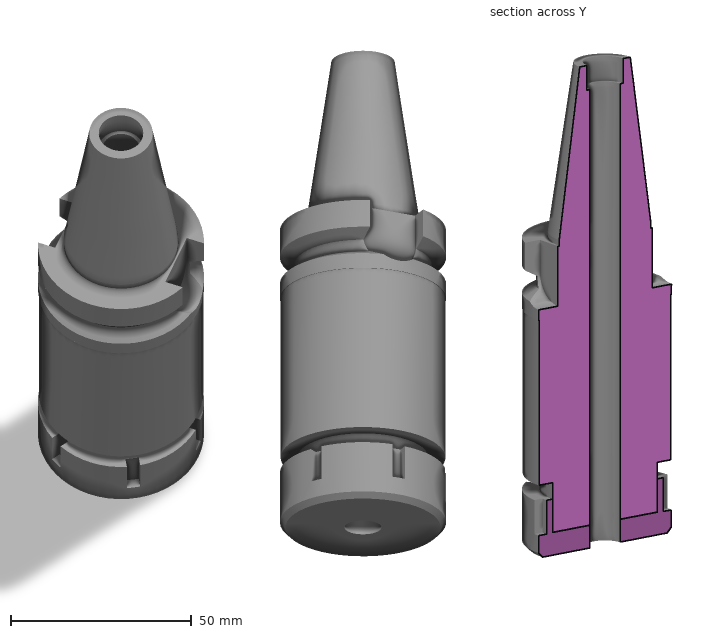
import cadquery as cq
import math

total_height = 138.4
flange_diameter = 46.0
flange_radius = flange_diameter / 2

gauge_diameter = 31.7
taper_length = 48.5
taper_ratio = 7 / 24
gauge_z = total_height - taper_length
shank_top_diameter = gauge_diameter - taper_length * taper_ratio

flange_top_z = 88.3
flange_bottom_z = 68.1
groove_diameter = 38.0
groove_floor_top_z = 78.0
groove_floor_bottom_z = 74.7
groove_wall_angle = 30.0
groove_depth = (flange_diameter - groove_diameter) / 2
groove_wall_rise = groove_depth * math.tan(math.radians(groove_wall_angle))

drive_slot_width = 16.3
drive_slot_floor_x = 16.3
drive_slot_bottom_z = 71.1

body_diameter = 45.5
body_bottom_z = 20.8
neck_diameter = 36.3

mouth_diameter = 12.3
mouth_depth = 7.0
bore_diameter = 10.2

nut_diameter = flange_diameter
nut_top_z = 16.2
nut_chamfer = 1.5
spanner_slot_count = 6
spanner_slot_width = 3.7
spanner_slot_bottom_z = 6.5
spanner_slot_floor_radius = 20.2

neck_bottom_z = spanner_slot_bottom_z


def cylinder(diameter, bottom_z, top_z):
    """Upright cylinder on the Z axis."""
    return cq.Workplane("XY", origin=(0, 0, bottom_z)).circle(diameter / 2).extrude(top_z - bottom_z)


def holder_blank():
    """Turned outside shape of the holder, from the neck up to the shank top."""
    outline = [
        (0, neck_bottom_z),
        (neck_diameter / 2, neck_bottom_z),
        (neck_diameter / 2, body_bottom_z),
        (body_diameter / 2, body_bottom_z),
        (body_diameter / 2, flange_bottom_z),
        (flange_radius, flange_bottom_z),
        (flange_radius, groove_floor_bottom_z - groove_wall_rise),
        (groove_diameter / 2, groove_floor_bottom_z),
        (groove_diameter / 2, groove_floor_top_z),
        (flange_radius, groove_floor_top_z + groove_wall_rise),
        (flange_radius, flange_top_z),
        (gauge_diameter / 2, flange_top_z),
        (gauge_diameter / 2, gauge_z),
        (shank_top_diameter / 2, total_height),
        (0, total_height),
    ]
    return cq.Workplane("XZ").polyline(outline).close().revolve(360, (0, 0, 0), (0, 1, 0))


def drive_slot(side):
    """Round-bottomed slot cutter on the +X (side = 1) or -X (side = -1) side."""
    half_width = drive_slot_width / 2
    arc_center_z = drive_slot_bottom_z + half_width
    return (
        cq.Workplane("YZ", origin=(side * drive_slot_floor_x, 0, 0))
        .moveTo(-half_width, flange_top_z)
        .lineTo(-half_width, arc_center_z)
        .threePointArc((0, drive_slot_bottom_z), (half_width, arc_center_z))
        .lineTo(half_width, flange_top_z)
        .close()
        .extrude(side * flange_radius)
    )


def make_holder():
    """Tool holder: taper shank, slotted flange, body and neck."""
    holder = holder_blank()
    for side in (-1, 1):
        holder = holder.cut(drive_slot(side))
    holder = holder.cut(cylinder(mouth_diameter, total_height - mouth_depth, total_height))
    return holder.cut(cylinder(bore_diameter, neck_bottom_z, total_height))


def nut_blank():
    """Turned outside shape of the nut, chamfered around its bottom edge."""
    nut_radius = nut_diameter / 2
    outline = [
        (0, 0),
        (nut_radius - nut_chamfer, 0),
        (nut_radius, nut_chamfer),
        (nut_radius, nut_top_z),
        (0, nut_top_z),
    ]
    return cq.Workplane("XZ").polyline(outline).close().revolve(360, (0, 0, 0), (0, 1, 0))


def spanner_slot(angle):
    """Slot cutter that is open at the top and outside of the nut."""
    slot = cq.Workplane("XY").box(
        nut_diameter / 2,
        spanner_slot_width,
        nut_top_z - spanner_slot_bottom_z,
        centered=(False, True, False),
    )
    slot = slot.translate((spanner_slot_floor_radius, 0, spanner_slot_bottom_z))
    return slot.rotate((0, 0, 0), (0, 0, 1), angle)


def make_nut():
    """Clamping nut: slotted ring with a seat for the neck and a hole through its front."""
    nut = nut_blank()
    for index in range(spanner_slot_count):
        nut = nut.cut(spanner_slot(index * 360 / spanner_slot_count))
    nut = nut.cut(cylinder(neck_diameter, neck_bottom_z, nut_top_z))
    return nut.cut(cylinder(bore_diameter, 0, neck_bottom_z))


holder = make_holder()
nut = make_nut()

result = cq.Compound.makeCompound([holder.val(), nut.val()])